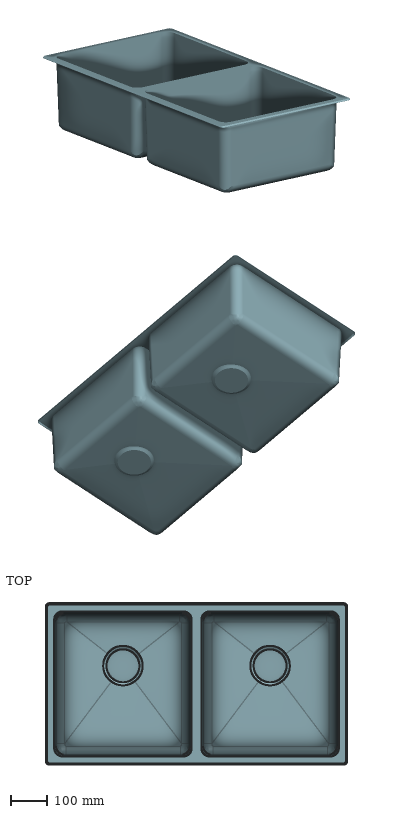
import cadquery as cq
import math

rim_length = 831.0
rim_width = 446.0
rim_height = 4.0
rim_bevel = 3.0
rim_corner_radius = 11.0
sheet = 1.0

bowl_border = 22.5
bowl_gap = 25.0
bowl_length = (rim_length - 2 * bowl_border - bowl_gap) / 2
bowl_width = rim_width - 2 * bowl_border
bowl_spacing = bowl_length + bowl_gap
bowl_centres_x = [-bowl_spacing / 2, bowl_spacing / 2]
bowl_radius = 25.0
draft_angle = 1.5
floor_edge_depth = 211.0
floor_drain_depth = 216.0
overall_height = 220.0

drain_offset_y = 50.0
drain_top_radius = 56.0
drain_bottom_radius = 45.0
drain_depth = 7.0

selection_margin = 0.1


def rectangle_corners(length, width, z):
    """Corners of a centred level rectangle, in order around it."""
    x = length / 2
    y = width / 2
    return [cq.Vector(-x, -y, z), cq.Vector(x, -y, z), cq.Vector(x, y, z), cq.Vector(-x, y, z)]


def flat_face(points):
    return cq.Face.makeFromWires(cq.Wire.makePolygon(points, close=True))


def tapered_box(inset):
    """Sharp-edged bowl shape, inset from the outside, whose four floor facets fall to the drain."""
    depth = floor_edge_depth - inset
    narrowing = 2 * depth * math.tan(math.radians(draft_angle))
    length = bowl_length - 2 * inset
    width = bowl_width - 2 * inset
    top = rectangle_corners(length, width, 0)
    floor = rectangle_corners(length - narrowing, width - narrowing, -depth)
    drain_point = cq.Vector(0, drain_offset_y, inset - floor_drain_depth)
    faces = [flat_face(top)]
    for i in range(4):
        j = (i + 1) % 4
        faces.append(flat_face([top[i], top[j], floor[j], floor[i]]))
        faces.append(flat_face([floor[i], floor[j], drain_point]))
    return cq.Workplane(cq.Solid.makeSolid(cq.Shell.makeShell(faces)))


def drain_cone(inset):
    """Drain recess widening up into the bowl: its outside at inset 0, its inside at inset sheet."""
    spread = sheet - inset
    cone = cq.Solid.makeCone(
        drain_bottom_radius + spread,
        drain_top_radius + spread,
        drain_depth,
        cq.Vector(0, drain_offset_y, inset - overall_height),
    )
    return cq.Workplane(cone)


def is_upright_corner(edge):
    """True for the long, nearly vertical edges between two bowl walls."""
    return edge.BoundingBox().zlen > floor_edge_depth / 2


def bowl_form(inset):
    """Rounded solid bowl shape with its drain: the outside at inset 0, the cavity at inset sheet."""
    radius = bowl_radius - inset
    floor_z = inset - floor_edge_depth
    floor_rim = cq.selectors.BoxSelector(
        (-bowl_length, -bowl_width, floor_z - selection_margin),
        (bowl_length, bowl_width, floor_z + selection_margin),
    )
    form = tapered_box(inset).edges(floor_rim).fillet(radius)
    form = form.edges().filter(is_upright_corner).fillet(radius)
    return form.union(drain_cone(inset))


def bevelled_plate(inset):
    """Rim-shaped plate with a bevelled top edge, inset from the outside of the rim."""
    return (
        cq.Workplane("XY", origin=(0, 0, -rim_height))
        .rect(rim_length - 2 * inset, rim_width - 2 * inset)
        .extrude(rim_height)
        .edges("|Z")
        .fillet(rim_corner_radius - inset)
        .faces(">Z")
        .chamfer(rim_bevel)
    )


def make_rim(cavity):
    """Bevelled sheet, hollow underneath, with an opening over each bowl."""
    rim = bevelled_plate(0).cut(bevelled_plate(sheet).translate((0, 0, -sheet)))
    for x in bowl_centres_x:
        rim = rim.cut(cavity.translate((x, 0, 0)))
    return rim


def make_bowl(cavity):
    """Bowl hanging from the underside of the rim sheet."""
    above_joint = cq.Workplane("XY", origin=(0, 0, -sheet)).rect(rim_length, rim_width).extrude(rim_height)
    return bowl_form(0).cut(cavity).cut(above_joint)


cavity = bowl_form(sheet)
rim = make_rim(cavity)
bowl = make_bowl(cavity)
bowls = [bowl.translate((x, 0, 0)) for x in bowl_centres_x]
result = cq.Compound.makeCompound([rim.val(), *[copy.val() for copy in bowls]])